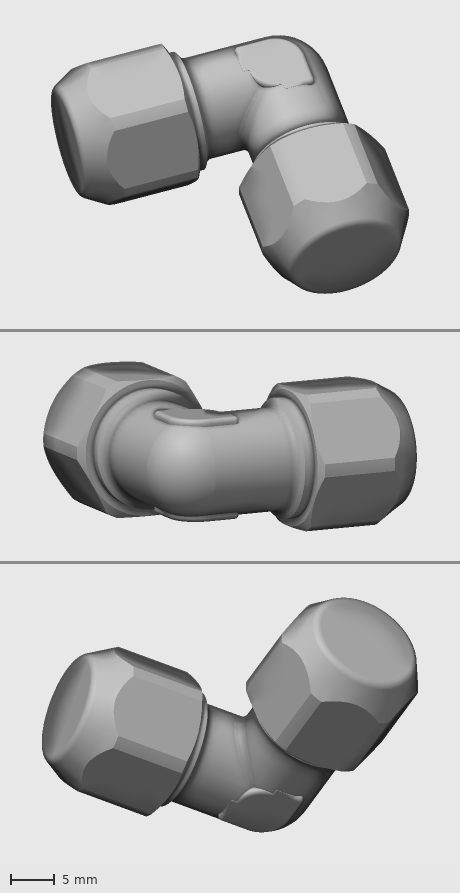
import cadquery as cq
import math


OVERALL = 34.35

NUT_FLATS = 16.0
NUT_CORNER_RADIUS = 8.83
NUT_REACH = OVERALL - NUT_CORNER_RADIUS
NUT_BACK = 12.02
NUT_BACK_RADIUS = 7.95
BACK_CHAMFER_ANGLE = 30.0
NOSE_START = 22.88
NOSE_ANGLE = 30.0
NOSE_FILLET = 1.0

PIPE_RADIUS = 5.98
COLLAR_RADIUS = 7.0
COLLAR_START = 10.9
COLLAR_CHAMFER_ANGLE = 60.0
COLLAR_FILLET = 1.0
CROTCH_FILLET = 1.0

PAD_TOP = 6.0
PAD_BACK = 3.0
PAD_END = 4.55
PAD_ARC_CENTER = 0.55
PAD_STEP = 0.72
PAD_INNER = 3.75
PAD_INNER_RADIUS = 2.6
PAD_ROUND = 0.5
PAD_CORNER_ROUND = 0.55
PAD_TAPER_START = 1.72
PAD_STEP_RUNOUT = 0.3


def tan_degrees(angle):
    return math.tan(math.radians(angle))


def make_nut():
    half_flats = NUT_FLATS / 2
    back_chamfer = (NUT_CORNER_RADIUS - NUT_BACK_RADIUS) * tan_degrees(BACK_CHAMFER_ANGLE)
    nose_corner = NOSE_START - (NUT_CORNER_RADIUS - half_flats) / tan_degrees(NOSE_ANGLE)
    face_radius = half_flats - (NUT_REACH - NOSE_START) * tan_degrees(NOSE_ANGLE)
    turned = (
        cq.Workplane("XY")
        .moveTo(NUT_BACK, 0)
        .lineTo(NUT_BACK, NUT_BACK_RADIUS)
        .lineTo(NUT_BACK + back_chamfer, NUT_CORNER_RADIUS)
        .lineTo(nose_corner, NUT_CORNER_RADIUS)
        .lineTo(NUT_REACH, face_radius)
        .lineTo(NUT_REACH, 0)
        .close()
        .revolve(360, (0, 0, 0), (1, 0, 0))
        .faces(">X").edges().fillet(NOSE_FILLET)
    )
    across_corners = NUT_FLATS / math.cos(math.pi / 6)
    hexagon = (
        cq.Workplane("YZ", origin=(NUT_BACK, 0, 0))
        .polygon(6, across_corners)
        .extrude(NUT_REACH - NUT_BACK)
    )
    return hexagon.intersect(turned)


def make_collar():
    angle = math.radians(COLLAR_CHAMFER_ANGLE)
    neck_radius = PIPE_RADIUS + COLLAR_FILLET * (1 - math.cos(angle))
    neck_x = COLLAR_START - (COLLAR_RADIUS - neck_radius) / math.tan(angle)
    fillet_x = neck_x - COLLAR_FILLET * math.sin(angle)
    middle_x = fillet_x + COLLAR_FILLET * math.sin(angle / 2)
    middle_radius = PIPE_RADIUS + COLLAR_FILLET * (1 - math.cos(angle / 2))
    return (
        cq.Workplane("XY")
        .moveTo(fillet_x, 0)
        .lineTo(fillet_x, PIPE_RADIUS)
        .threePointArc((middle_x, middle_radius), (neck_x, neck_radius))
        .lineTo(COLLAR_START, COLLAR_RADIUS)
        .lineTo(NUT_BACK, COLLAR_RADIUS)
        .lineTo(NUT_BACK, 0)
        .close()
        .revolve(360, (0, 0, 0), (1, 0, 0))
    )


def to_second_leg(leg):
    return leg.rotate((0, 0, 0), (0, 0, 1), -90)


def make_elbow():
    pipe = cq.Workplane("YZ").circle(PIPE_RADIUS).extrude(NUT_BACK)
    outer_corner = cq.Workplane("XY").sphere(PIPE_RADIUS)
    crotch = cq.selectors.BoxSelector(
        (PIPE_RADIUS / 2, -PIPE_RADIUS / 2, -PIPE_RADIUS),
        (PIPE_RADIUS, -PIPE_RADIUS, PIPE_RADIUS),
    )
    return (
        pipe.union(to_second_leg(pipe))
        .union(outer_corner)
        .edges(crotch)
        .fillet(CROTCH_FILLET)
    )


def pad_back_outline():
    back_radius = PAD_BACK + PAD_ARC_CENTER
    back_middle = back_radius * math.sqrt(0.5) - PAD_ARC_CENTER
    return (
        cq.Workplane("XY")
        .moveTo(-PAD_BACK, -PAD_END)
        .lineTo(-PAD_BACK, -PAD_ARC_CENTER)
        .threePointArc((-back_middle, back_middle), (PAD_ARC_CENTER, PAD_BACK))
        .lineTo(PAD_END, PAD_BACK)
    )


def make_pad():
    inner_center = PAD_INNER - PAD_INNER_RADIUS
    inner_middle = inner_center + PAD_INNER_RADIUS * math.sqrt(0.5)
    wall = (
        pad_back_outline()
        .lineTo(PAD_END, -PAD_STEP)
        .lineTo(PAD_INNER, -PAD_STEP)
        .lineTo(PAD_INNER, -inner_center)
        .threePointArc((inner_middle, -inner_middle), (inner_center, -PAD_INNER))
        .lineTo(PAD_STEP, -PAD_INNER)
        .lineTo(PAD_STEP, -PAD_END)
        .close()
        .extrude(PAD_TOP)
    )
    crown_end = PAD_END + PAD_ROUND
    crown_step = PAD_STEP + PAD_STEP_RUNOUT
    crown_inner = PAD_INNER + PAD_STEP_RUNOUT
    crown = (
        pad_back_outline()
        .lineTo(PAD_END, PAD_TAPER_START)
        .lineTo(crown_end, 0)
        .lineTo(crown_end, -crown_step)
        .lineTo(crown_inner, -crown_step)
        .threePointArc((inner_middle, -inner_middle), (crown_step, -crown_inner))
        .lineTo(crown_step, -crown_end)
        .lineTo(0, -crown_end)
        .lineTo(-PAD_TAPER_START, -PAD_END)
        .close()
        .extrude(PAD_TOP)
    )
    for x, y in ((PAD_END, PAD_BACK), (-PAD_BACK, -PAD_END)):
        corner = cq.selectors.NearestToPointSelector((x, y, PAD_TOP / 2))
        crown = crown.edges(corner).fillet(PAD_CORNER_ROUND)
    crown = crown.faces(">Z").edges().fillet(PAD_ROUND)
    return wall.intersect(crown)


leg = make_collar().union(make_nut())
pad = make_pad()
result = (
    make_elbow()
    .union(pad)
    .union(pad.mirror("XY"))
    .union(leg)
    .union(to_second_leg(leg))
    .solids()
)